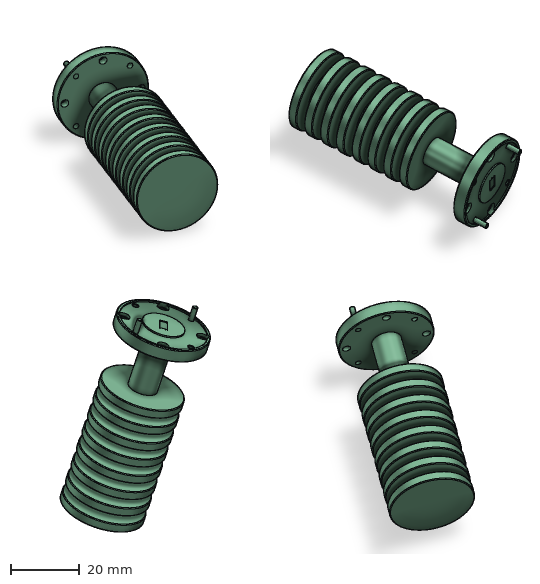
import cadquery as cq
import math

overall_length = 67.4
pin_protrusion = 4.0
flange_thickness = 4.05
tube_length = 17.45

flange_diameter = 28.55
flange_chamfer = 0.3
boss_diameter = 12.9
rim_inner_diameter = 26.7
face_recess_depth = 0.5

bolt_circle_diameter = 23.85
bolt_hole_diameter = 2.35
counterbore_diameter = 3.6
counterbore_depth = 1.5
bolt_count = 4

pin_diameter = 1.6
pin_chamfer = 0.15
dowel_hole_diameter = 1.7
dowel_chamfer = 0.17

tube_diameter = 8.9
guide_width = 2.35
guide_height = 4.8
load_setback = 0.35

fin_count = 8
fin_diameter = 25.45
fin_chamfer = 0.3
core_diameter = 12.8

flange_start = pin_protrusion
recessed_face = flange_start + face_recess_depth
flange_end = flange_start + flange_thickness
sink_start = flange_end + tube_length
sink_length = overall_length - sink_start
fin_thickness = sink_length / (2 * fin_count - 1)
fin_pitch = 2 * fin_thickness

bolt_radius = bolt_circle_diameter / 2
dowel_offset = bolt_radius * math.sin(math.radians(45))
pin_places = [(-dowel_offset, dowel_offset), (dowel_offset, -dowel_offset)]
open_dowel_places = [(dowel_offset, dowel_offset), (-dowel_offset, -dowel_offset)]
bolt_places = [
    (bolt_radius * math.cos(angle), bolt_radius * math.sin(angle))
    for angle in (2 * math.pi * i / bolt_count for i in range(bolt_count))
]


def plane_at(x):
    """YZ plane at the given X: local x is +Y, local y is +Z, extrusion runs along +X."""
    return cq.Workplane("YZ", origin=(x, 0, 0))


def rod(x, length, diameter, places=((0, 0),)):
    """One round bar along X at each (y, z) place, starting at the given X."""
    return plane_at(x).pushPoints(places).circle(diameter / 2).extrude(length)


def guide_block(x_from, x_to):
    """Rectangular block with the cross-section of the waveguide."""
    return plane_at(x_from).rect(guide_width, guide_height).extrude(x_to - x_from)


def dowel_hole_cutter(place):
    """Through hole with a countersunk mouth on the recessed flange face."""
    mouth_radius = dowel_hole_diameter / 2 + dowel_chamfer
    countersink = cq.Solid.makeCone(
        mouth_radius,
        mouth_radius - dowel_chamfer,
        dowel_chamfer,
        pnt=cq.Vector(recessed_face, *place),
        dir=cq.Vector(1, 0, 0),
    )
    return rod(flange_start, flange_thickness, dowel_hole_diameter, [place]).union(cq.Workplane(countersink))


def make_flange():
    """Round flange: recessed face ring, counterbored bolt holes, dowel holes and waveguide window."""
    blank = rod(flange_start, flange_thickness, flange_diameter).edges().chamfer(flange_chamfer)
    face_ring = (
        plane_at(flange_start)
        .circle(rim_inner_diameter / 2)
        .circle(boss_diameter / 2)
        .extrude(face_recess_depth)
    )
    body = (
        blank.cut(face_ring)
        .cut(rod(flange_start, flange_thickness, bolt_hole_diameter, bolt_places))
        .cut(rod(flange_start, counterbore_depth, counterbore_diameter, bolt_places))
        .cut(rod(flange_start, flange_thickness, pin_diameter, pin_places))
        .cut(guide_block(flange_start, flange_end))
    )
    for place in open_dowel_places:
        body = body.cut(dowel_hole_cutter(place))
    return body


def make_tube():
    """Round tube between flange and heat sink, with the waveguide as its bore."""
    return rod(flange_end, tube_length, tube_diameter).cut(guide_block(flange_end, sink_start))


def make_load():
    """Rectangular load that fills the waveguide, set back slightly from the flange boss."""
    return guide_block(flange_start + load_setback, sink_start)


def make_pin(place):
    """Alignment pin with a chamfered tip; it passes through the whole flange."""
    return rod(0, flange_end, pin_diameter, [place]).faces("<X").chamfer(pin_chamfer)


def make_heat_sink():
    """Solid core with evenly spaced, chamfered round fins."""
    sink = rod(sink_start, sink_length, core_diameter)
    for i in range(fin_count):
        fin = rod(sink_start + i * fin_pitch, fin_thickness, fin_diameter).edges().chamfer(fin_chamfer)
        sink = sink.union(fin)
    return sink


flange = make_flange()
tube = make_tube()
load = make_load()
heat_sink = make_heat_sink()
pins = [make_pin(place) for place in pin_places]

result = cq.Compound.makeCompound(
    [flange.val(), tube.val(), load.val(), heat_sink.val(), *[pin.val() for pin in pins]]
)